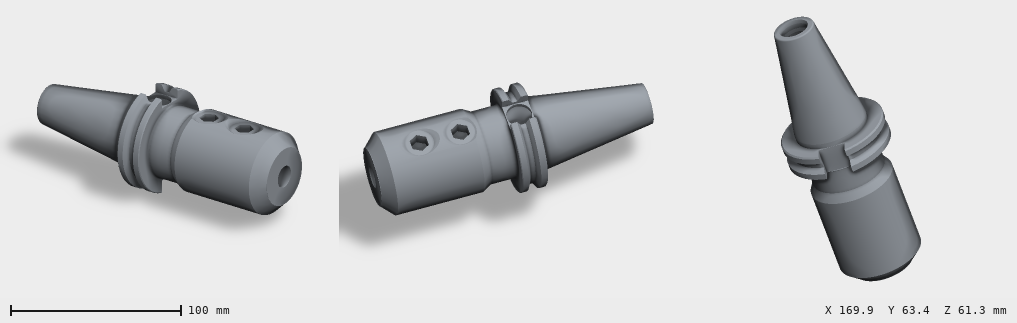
import cadquery as cq
import math

total_length = 169.9
gauge_x = 68.3
gauge_diameter = 44.5
taper_ratio = 7 / 24
small_diameter = gauge_diameter - gauge_x * taper_ratio
small_end_rounding = 1.0

flange_x = 71.3
flange_width = 16.0
flange_diameter = 63.4
flange_end_x = flange_x + flange_width
flange_rear_chamfer = 0.8
flange_front_chamfer = 0.5
groove_center_x = 79.5
groove_floor_width = 3.0
groove_floor_diameter = 55.7
groove_half_angle = 30.0
neck_fillet = 1.0

slot_width = 16.1
top_slot_floor = 24.6
bottom_slot_floor = 22.5
dimple_diameter = 15.3
dimple_depth = 2.5
dimple_point_angle = 118.0

neck_end_x = 103.3
head_diameter = 50.8
shoulder_angle = 30.0
nose_chamfer = 7.5
nose_lip = 0.2

hole_diameter = 13.5
pilot_diameter = 16.5
mouth_diameter = 17.7
mouth_cone_length = 2.2
pilot_end_x = 5.3
pilot_cone_length = 1.4

screw_diameter = 17.3
screw_length = 10.2
screw_spacing = 25.3
first_screw_x = 115.7
screw_xs = [first_screw_x, first_screw_x + screw_spacing]
screw_top = 23.3
countersink_half_angle = 60.0
hex_across_flats = 10.0
hex_depth = 7.6


def revolve_about_x(points):
    """Revolve a closed (x, radius) outline about the X axis."""
    return cq.Workplane("XY").polyline(points).close().revolve(360, (0, 0, 0), (1, 0, 0))


def make_outer_form():
    """Taper, flange, neck and head as one body of revolution."""
    gauge_radius = gauge_diameter / 2
    small_radius = small_diameter / 2
    rounding_end_radius = small_radius + small_end_rounding * taper_ratio / 2
    head_radius = head_diameter / 2
    flange_radius = flange_diameter / 2
    shoulder_length = (head_radius - gauge_radius) / math.tan(math.radians(shoulder_angle))
    outline = (
        cq.Workplane("XY")
        .moveTo(0, 0)
        .lineTo(0, rounding_end_radius - small_end_rounding)
        .radiusArc((small_end_rounding, rounding_end_radius), small_end_rounding)
        .lineTo(gauge_x, gauge_radius)
        .lineTo(flange_x, gauge_radius)
        .lineTo(flange_x, flange_radius - flange_rear_chamfer)
        .lineTo(flange_x + flange_rear_chamfer, flange_radius)
        .lineTo(flange_end_x - flange_front_chamfer, flange_radius)
        .lineTo(flange_end_x, flange_radius - flange_front_chamfer)
        .lineTo(flange_end_x, gauge_radius + neck_fillet)
        .radiusArc((flange_end_x + neck_fillet, gauge_radius), -neck_fillet)
        .lineTo(neck_end_x, gauge_radius)
        .lineTo(neck_end_x + shoulder_length, head_radius)
        .lineTo(total_length - nose_lip - nose_chamfer, head_radius)
        .lineTo(total_length - nose_lip, head_radius - nose_chamfer)
        .lineTo(total_length, head_radius - nose_chamfer)
        .lineTo(total_length, 0)
        .close()
    )
    return outline.revolve(360, (0, 0, 0), (1, 0, 0))


def make_flange_groove():
    """Ring that cuts the V-sided gripper groove."""
    floor_radius = groove_floor_diameter / 2
    rim_radius = flange_diameter / 2
    floor_half = groove_floor_width / 2
    rim_half = floor_half + (rim_radius - floor_radius) * math.tan(math.radians(groove_half_angle))
    return revolve_about_x([
        (groove_center_x - floor_half, floor_radius),
        (groove_center_x - rim_half, rim_radius),
        (groove_center_x + rim_half, rim_radius),
        (groove_center_x + floor_half, floor_radius),
    ])


def make_drive_slot(floor_distance, side):
    """Slot cutter across the flange; side is +1 for the top and -1 for the bottom."""
    height = flange_diameter / 2 - floor_distance
    center_x = flange_x + flange_width / 2
    center_z = side * (floor_distance + height / 2)
    return cq.Workplane("XY").box(flange_width, slot_width, height).translate((center_x, 0, center_z))


def make_dimple():
    """Drill-pointed recess in the floor of the top slot."""
    radius = dimple_diameter / 2
    wall_end = top_slot_floor - dimple_depth
    tip = wall_end - radius / math.tan(math.radians(dimple_point_angle / 2))
    profile = [(0, top_slot_floor), (radius, top_slot_floor), (radius, wall_end), (0, tip)]
    cutter = cq.Workplane("XZ").polyline(profile).close().revolve(360, (0, 0, 0), (0, 1, 0))
    return cutter.translate((flange_x + flange_width / 2, 0, 0))


def make_axial_hole():
    """Through hole with a wider, coned pilot at the taper end."""
    return revolve_about_x([
        (0, 0),
        (0, mouth_diameter / 2),
        (mouth_cone_length, pilot_diameter / 2),
        (pilot_end_x, pilot_diameter / 2),
        (pilot_end_x + pilot_cone_length, hole_diameter / 2),
        (total_length, hole_diameter / 2),
        (total_length, 0),
    ])


def make_screw_seat(x):
    """Blind screw hole with a countersink opening through the head surface."""
    radius = screw_diameter / 2
    seat_top = head_diameter / 2
    seat_bottom = screw_top - screw_length
    rim_radius = radius + (seat_top - screw_top) * math.tan(math.radians(countersink_half_angle))
    profile = [
        (0, seat_bottom),
        (radius, seat_bottom),
        (radius, screw_top),
        (rim_radius, seat_top),
        (0, seat_top),
    ]
    cutter = cq.Workplane("XZ").polyline(profile).close().revolve(360, (0, 0, 0), (0, 1, 0))
    return cutter.translate((x, 0, 0))


def make_holder():
    """Tool holder body."""
    holder = make_outer_form().cut(make_flange_groove())
    holder = holder.cut(make_drive_slot(top_slot_floor, 1))
    holder = holder.cut(make_drive_slot(bottom_slot_floor, -1))
    holder = holder.cut(make_dimple()).cut(make_axial_hole())
    for x in screw_xs:
        holder = holder.cut(make_screw_seat(x))
    return holder


def make_set_screw(x):
    """Headless screw with a hexagon socket whose corners point along Y."""
    screw = cq.Workplane("XY").circle(screw_diameter / 2).extrude(screw_length)
    hex_across_corners = hex_across_flats / math.cos(math.radians(30))
    socket = cq.Workplane("XY").polygon(6, hex_across_corners).extrude(hex_depth)
    socket = socket.rotate((0, 0, 0), (0, 0, 1), 90).translate((0, 0, screw_length - hex_depth))
    return screw.cut(socket).translate((x, 0, screw_top - screw_length))


holder = make_holder()
set_screws = [make_set_screw(x) for x in screw_xs]

result = cq.Compound.makeCompound([holder.val(), *[screw.val() for screw in set_screws]])